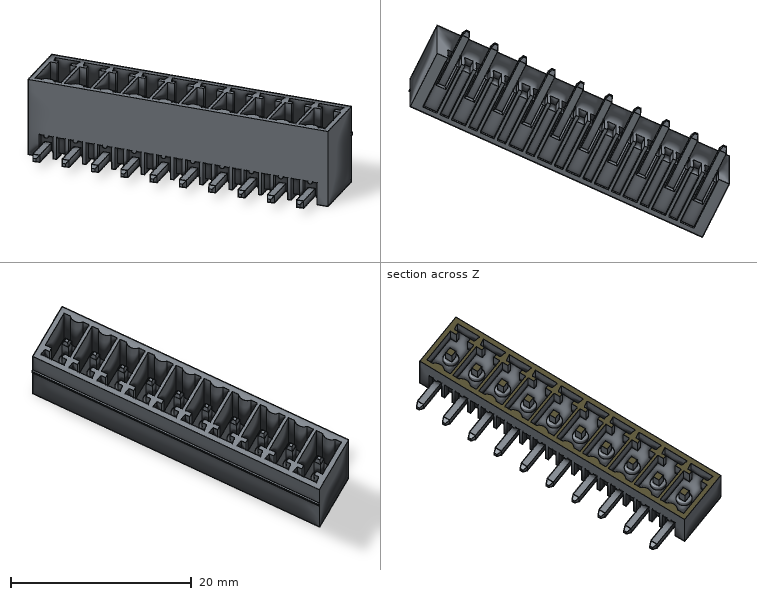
import cadquery as cq


length = 35.8
depth = 7.0
overall_depth = 10.65
height = 9.2
back_edge_set_in = 0.1
back_edge_rise = 0.2

pin_count = 10
end_margin = 2.15
pitch = (length - 2 * end_margin) / (pin_count - 1)
pin_xs = [end_margin + i * pitch for i in range(pin_count)]
gap_xs = [x + pitch / 2 for x in pin_xs[:-1]]

ridge_out = 0.2
ridge_top = height - 3.22
ridge_face = 0.3
ridge_slope = 0.1

floor_z = 3.05
front_wall = 0.65
shoulder_y = 5.12
neck_end_y = 5.62
cavity_back_y = 6.37
cavity_width = 3.1
neck_width = 1.55
key_inner_width = 2.65
key_outer_width = 2.95
rib_width = 1.58
rib_rise = 0.35

slot_height = 2.7
pin_slot_width = 1.7
pin_slot_depth = 0.6
gap_slot_width = 1.0
gap_slot_depth = 0.75
tooth_radius = 0.3
standoff = 0.45
recess_end_y = depth - front_wall

pin_size = 0.82
leg_height = 0.9
pin_y = 2.97
pin_top = 8.02
leg_bottom = 0.75
leg_reach = overall_depth - ridge_out - depth
tip_length = 0.55
tip_size = 0.4
lead_in_width = 1.2
collar_diameter = 1.8
collar_height = 0.32
collar_rounding = 0.3


def block(x_center, width, y_start, y_end, z_start, z_end):
    """Box centred on x_center, given its Y and Z limits."""
    box = cq.Workplane("XY").box(width, y_end - y_start, z_end - z_start, centered=(True, False, False))
    return box.translate((x_center, y_start, z_start))


def make_housing():
    """Outer block, with the lower back edge bevelled and the latch ridge on the back."""
    profile = [
        (0, 0),
        (depth - back_edge_set_in, 0),
        (depth, back_edge_rise),
        (depth, ridge_top - ridge_face - ridge_slope),
        (depth + ridge_out, ridge_top - ridge_face),
        (depth + ridge_out, ridge_top),
        (depth, ridge_top),
        (depth, height),
        (0, height),
    ]
    return cq.Workplane("YZ").polyline(profile).close().extrude(length)


def make_cavity(x):
    """T-keyed pocket with a rounded rib on its front wall."""
    half, neck = cavity_width / 2, neck_width / 2
    key_in, key_out = key_inner_width / 2, key_outer_width / 2
    outline = (
        cq.Workplane("XY", origin=(x, 0, floor_z))
        .moveTo(-half, front_wall)
        .lineTo(-rib_width / 2, front_wall)
        .threePointArc((0, front_wall + rib_rise), (rib_width / 2, front_wall))
        .lineTo(half, front_wall)
        .lineTo(half, shoulder_y)
        .lineTo(neck, shoulder_y)
        .lineTo(neck, neck_end_y)
        .lineTo(key_in, neck_end_y)
        .lineTo(key_out, cavity_back_y)
        .lineTo(-key_out, cavity_back_y)
        .lineTo(-key_in, neck_end_y)
        .lineTo(-neck, neck_end_y)
        .lineTo(-neck, shoulder_y)
        .lineTo(-half, shoulder_y)
        .close()
    )
    return outline.extrude(height - floor_z)


def make_opening(x, width, slot_depth):
    """Slot in the lower front that runs on under the raised underside."""
    slot = block(x, width, 0, slot_depth, 0, slot_height)
    underside = block(x, width, 0, recess_end_y, 0, standoff)
    return slot.union(underside)


def make_pin_opening(x):
    """Slot around a pin leg: round tooth at its top and a tapered lead-in below the leg."""
    tooth = cq.Workplane("XZ", origin=(x, 0, slot_height)).circle(tooth_radius).extrude(-pin_slot_depth)
    leg_back_y = pin_y + pin_size / 2
    taper = (lead_in_width - pin_size) / 2
    lead_in = (
        cq.Workplane("XZ", origin=(x, pin_slot_depth, 0))
        .polyline([
            (-lead_in_width / 2, standoff),
            (lead_in_width / 2, standoff),
            (pin_size / 2, leg_bottom),
            (-pin_size / 2, leg_bottom),
        ])
        .close()
        .extrude(-(leg_back_y + taper - pin_slot_depth))
    )
    back_slope = (
        cq.Workplane("YZ", origin=(x - lead_in_width / 2, 0, 0))
        .polyline([
            (0, standoff),
            (leg_back_y + taper, standoff),
            (leg_back_y, leg_bottom),
            (0, leg_bottom),
        ])
        .close()
        .extrude(lead_in_width)
    )
    lead_in = lead_in.intersect(back_slope)
    return make_opening(x, pin_slot_width, pin_slot_depth).cut(tooth).union(lead_in)


def make_bar(bar_length, thickness):
    """Bar along +Z from the origin, thickness deep in Y, with a tapered square tip at its far end."""
    straight = cq.Workplane("XY").rect(pin_size, thickness).extrude(bar_length - tip_length)
    return (
        straight.faces(">Z").workplane()
        .rect(pin_size, pin_size)
        .workplane(offset=tip_length)
        .rect(tip_size, tip_size)
        .loft(combine=True)
    )


def make_pin(x):
    """Right-angle pin with a round-edged collar on the cavity floor."""
    leg_z = leg_bottom + leg_height / 2
    post = make_bar(pin_top - leg_bottom, pin_size).translate((x, pin_y, leg_bottom))
    leg_length = pin_y + pin_size / 2 + leg_reach
    leg = make_bar(leg_length, leg_height).rotate((0, 0, 0), (1, 0, 0), 90)
    leg = leg.translate((x, pin_y + pin_size / 2, leg_z))
    collar = (
        cq.Workplane("XY", origin=(x, pin_y, floor_z))
        .circle(collar_diameter / 2)
        .extrude(collar_height)
        .faces(">Z")
        .edges()
        .fillet(collar_rounding)
    )
    return post.union(leg).union(collar)


result = make_housing()
for x in gap_xs:
    result = result.cut(make_opening(x, gap_slot_width, gap_slot_depth))
for x in pin_xs:
    result = result.cut(make_cavity(x)).cut(make_pin_opening(x)).union(make_pin(x))